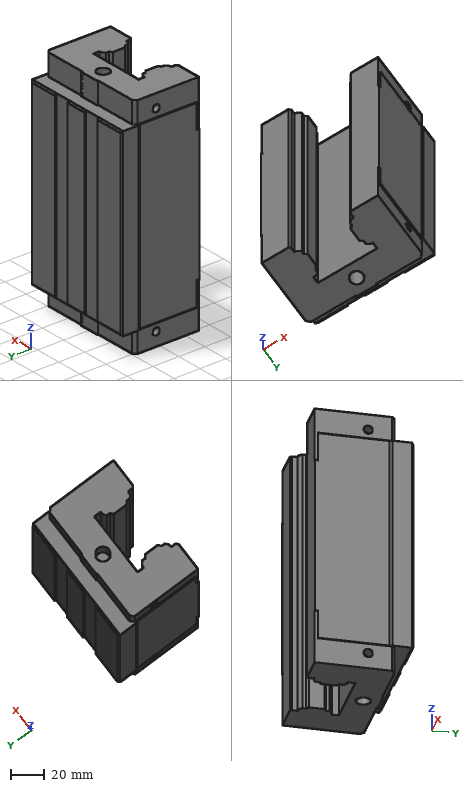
import cadquery as cq
import math

length = 171.5
width = 86.0
height = 60.7

cap_length = 16.5
block_length = length - 2 * cap_length
skirt_width = 84.9
skirt_top = 46.0
shoulder_bottom = 47.5
top_chamfer = 1.2
pad_height = 1.2
groove_inner = 8.0
groove_outer = 20.0

cap_width = 83.5
cap_height = 49.7
cap_corner_chamfer = 2.2
tab_height = 50.5
tab_bottom = 49.0
tab_top_width = 16.1
tab_bottom_width = tab_top_width - 2 * (tab_height - tab_bottom)

seal_height = 1.9
seal_length = 18.4

channel_half_width = 21.3
channel_top = 29.8
mouth_chamfer = 1.2
bulge_center = 15.0
bulge_nose_half_width = 15.5
bulge_nose_half_height = 4.8
bulge_step_half_width = 17.3
bulge_step_half_height = 6.2
bulge_shoulder_radius = 4.8
bulge_half_height = 10.5

end_hole_diameter = 9.1
end_hole_height = 39.8
side_hole_diameter = 5.3
side_hole_height = 33.0
side_hole_inset = 10.3
side_hole_depth = 8.5


def block():
    """Wide body with a narrower skirt and three raised pads on its mounting face."""
    half_width = width / 2
    half_skirt = skirt_width / 2
    body = (
        cq.Workplane("XY")
        .workplane(offset=cap_length)
        .polyline([
            (-half_skirt, 0),
            (half_skirt, 0),
            (half_skirt, skirt_top),
            (half_width, shoulder_bottom),
            (half_width, height),
            (-half_width, height),
            (-half_width, shoulder_bottom),
            (-half_skirt, skirt_top),
        ])
        .close()
        .extrude(block_length)
        .faces(">Y")
        .chamfer(top_chamfer)
    )
    groove_width = groove_outer - groove_inner
    groove_center = (groove_outer + groove_inner) / 2
    for side in (-1, 1):
        groove = cq.Workplane("XY").box(groove_width, 2 * pad_height, length)
        body = body.cut(groove.translate((side * groove_center, height, length / 2)))

    notch_width = (width - cap_width) / 2
    for side in (-1, 1):
        for end in (cap_length, length - cap_length):
            notch = cq.Workplane("XY").box(notch_width, 2 * seal_height, 2 * seal_length)
            body = body.cut(notch.translate((side * (cap_width + notch_width) / 2, 0, end)))
    return body


def cap():
    """End cap with chamfered upper corners and a dovetail tab on top."""
    plate = (
        cq.Workplane("XY")
        .center(0, cap_height / 2)
        .rect(cap_width, cap_height)
        .extrude(cap_length)
        .edges("|Z and >Y")
        .chamfer(cap_corner_chamfer)
    )
    tab = (
        cq.Workplane("XY")
        .polyline([
            (-tab_bottom_width / 2, tab_bottom),
            (tab_bottom_width / 2, tab_bottom),
            (tab_top_width / 2, tab_height),
            (-tab_top_width / 2, tab_height),
        ])
        .close()
        .extrude(cap_length)
    )
    return plate.union(tab)


def channel():
    """Full-length rail channel, symmetric about the YZ plane."""
    arc_center_offset = bulge_half_height - bulge_shoulder_radius
    step_reach = channel_half_width - bulge_step_half_width
    shoulder_rise = math.sqrt(bulge_shoulder_radius ** 2 - step_reach ** 2)
    shoulder_offset = arc_center_offset + shoulder_rise
    middle_angle = (math.pi / 2 + math.acos(step_reach / bulge_shoulder_radius)) / 2
    middle_x = channel_half_width - bulge_shoulder_radius * math.cos(middle_angle)
    middle_offset = arc_center_offset + bulge_shoulder_radius * math.sin(middle_angle)

    half = (
        cq.Workplane("XY")
        .moveTo(0, 0)
        .lineTo(channel_half_width + mouth_chamfer, 0)
        .lineTo(channel_half_width, mouth_chamfer)
        .lineTo(channel_half_width, bulge_center - bulge_half_height)
        .threePointArc(
            (middle_x, bulge_center - middle_offset),
            (bulge_step_half_width, bulge_center - shoulder_offset),
        )
        .lineTo(bulge_step_half_width, bulge_center - bulge_step_half_height)
        .lineTo(bulge_nose_half_width, bulge_center - bulge_nose_half_height)
        .lineTo(bulge_nose_half_width, bulge_center + bulge_nose_half_height)
        .lineTo(bulge_step_half_width, bulge_center + bulge_step_half_height)
        .lineTo(bulge_step_half_width, bulge_center + shoulder_offset)
        .threePointArc(
            (middle_x, bulge_center + middle_offset),
            (channel_half_width, bulge_center + bulge_half_height),
        )
        .lineTo(channel_half_width, channel_top)
        .lineTo(0, channel_top)
        .close()
        .extrude(length)
    )
    return half.union(half.mirror("YZ"))


def lubrication_holes():
    """One hole in the end face and one in each side of both caps."""
    end_hole = (
        cq.Workplane("XY")
        .center(0, end_hole_height)
        .circle(end_hole_diameter / 2)
        .extrude(cap_length)
    )
    holes = end_hole.union(end_hole.translate((0, 0, length - cap_length)))
    side_hole = cq.Workplane("YZ").circle(side_hole_diameter / 2).extrude(side_hole_depth)
    for x in (-cap_width / 2, cap_width / 2 - side_hole_depth):
        for z in (side_hole_inset, length - side_hole_inset):
            holes = holes.union(side_hole.translate((x, side_hole_height, z)))
    return holes


end_cap = cap()
carriage = block().union(end_cap).union(end_cap.translate((0, 0, length - cap_length)))
result = carriage.cut(channel()).cut(lubrication_holes())